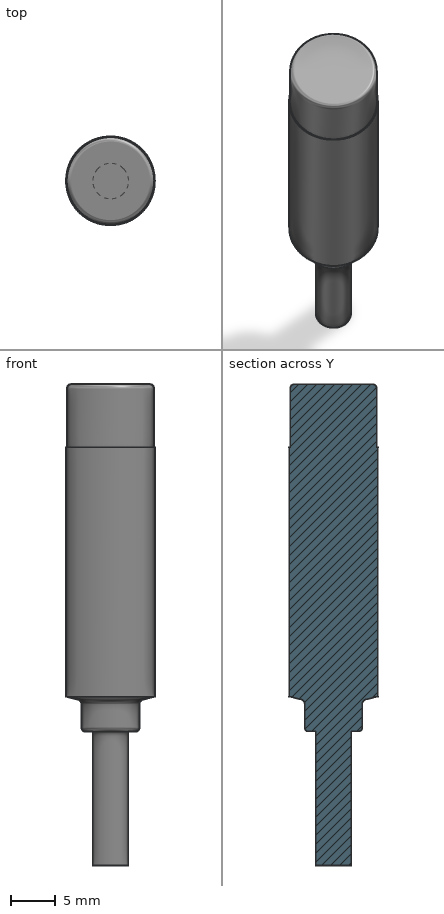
import cadquery as cq
import math

total_height = 54.0
cap_height = 7.1
body_bottom = 18.95
collar_bottom = 15.0

cap_diameter = 9.8
body_diameter = 10.0
collar_diameter = 6.55
cable_diameter = 4.0

cap_edge_radius = 0.5
collar_edge_radius = 0.5
neck_radius = 0.5
shoulder_angle = 15.0

body_radius = body_diameter / 2
collar_radius = collar_diameter / 2
body_top = total_height - cap_height


def cylinder(diameter, bottom, top):
    """Solid cylinder on the Z axis between two heights."""
    return cq.Workplane("XY").workplane(offset=bottom).circle(diameter / 2).extrude(top - bottom)


def conical_shoulder():
    """Cone under the body, ending on a concave quarter-round neck above the collar."""
    neck_top_radius = collar_radius + neck_radius
    neck_top = body_bottom - (body_radius - neck_top_radius) * math.tan(math.radians(shoulder_angle))
    neck_bottom = neck_top - neck_radius
    arc_inset = neck_radius * (1 - math.cos(math.pi / 4))
    arc_middle = (collar_radius + arc_inset, neck_top - arc_inset)
    return (
        cq.Workplane("XZ")
        .moveTo(0, body_bottom)
        .lineTo(body_radius, body_bottom)
        .lineTo(neck_top_radius, neck_top)
        .threePointArc(arc_middle, (collar_radius, neck_bottom))
        .lineTo(0, neck_bottom)
        .close()
        .revolve(360, (0, 0, 0), (0, 1, 0))
    )


cap = cylinder(cap_diameter, body_top, total_height).faces(">Z").edges().fillet(cap_edge_radius)
body = cylinder(body_diameter, body_bottom, body_top)
collar = cylinder(collar_diameter, collar_bottom, body_bottom).faces("<Z").edges().fillet(collar_edge_radius)
cable = cylinder(cable_diameter, 0, collar_bottom)

result = cap.union(body).union(conical_shoulder()).union(collar).union(cable)